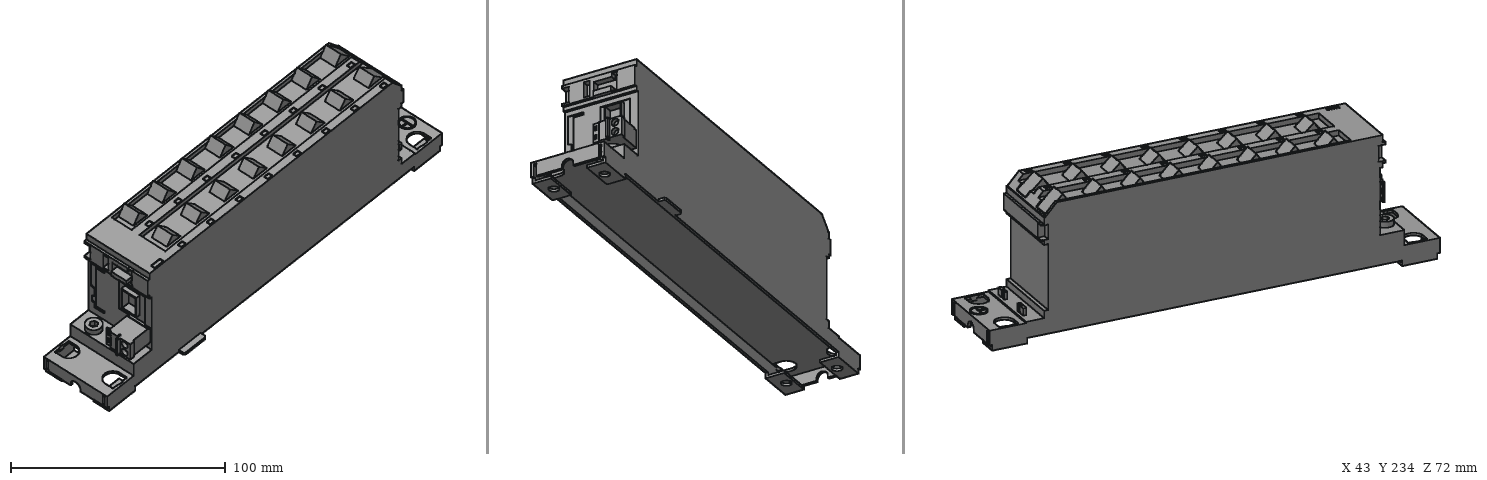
import cadquery as cq

LENGTH = 234.0
WIDTH = 39.5
HEIGHT = 72.0

SHEET = 1.5
CHANNEL_TOP = 10.5
CHANNEL_BOTTOM = 2.8
FOOT_LENGTH = 18.3
FOOT_WIDTH = 10.0
FLANGE_SLOT_TOP = 9.4
ARCH_RADIUS = 3.0
ARCH_TOP = 7.0
HOLE_INSET_X = 6.0
HOLE_INSET_Y = 10.8
HOLE_RADIUS = 2.5
ACCESS_RADIUS = 5.0
ACCESS_EDGE = 1.6
TAB_REACH = 3.5
TAB_START = 50.0
TAB_LENGTH = 15.2
TAB_CHAMFER = 0.7

BODY_TOP = 69.3
FRONT_FACE = 31.1
FRONT_LIP = 29.7
FRONT_BAND = 28.3
LEDGE_FRONT = 18.5
LEDGE_TOP = 18.3
BAND_BOTTOM = 54.8
BAND_TOP = 65.5
LIP_BOTTOM = 52.6
REAR_FACE = 203.5
REAR_LIP = 205.7
REAR_BAND = 207.0
REAR_STEP_END = 215.0
REAR_STEP_TOP = 11.2
REAR_FOOT_TOP = 15.0
REAR_LIP_BOTTOM = 48.7
REAR_BAND_BOTTOM = 50.8
REAR_BAND_TOP = 59.2
BEVEL_RUN = 6.0
BEVEL_LEDGE = 0.5
BEVEL_DROP = 6.5

COLUMN_START = 45.6
COLUMN_FLOOR = 66.5
COLUMNS = ((1.6, 14.0), (19.0, 35.0))
SWITCH_STARTS = (1.6, 22.5)
SWITCH_PEAKS = (HEIGHT, 71.4)
SWITCH_WIDTH = 9.4
SWITCH_COUNT = 8
SWITCH_PITCH = 20.1
FIRST_SWITCH = 54.3
SWITCH_FRONT_RUN = 4.0
SWITCH_REAR_RUN = 5.5
CHUTE_END = 204.3
LAMP_STARTS = (16.1, 36.5)
LAMP_WIDTH = 2.3
LAMP_LENGTH = 3.0
STATUS_LAMP_START = 34.2
STATUS_LAMP_LENGTH = 6.0
SHALLOW = 0.5

NOTCH_WIDTH = 3.7
SOCKET = (22.5, 31.8, 35.8, 48.7)
SOCKET_FRONT = 29.0
SOCKET_WALL = 0.7
LABEL = (19.0, 35.0, 31.8, 50.0)
CONNECTOR_BOTTOM = 22.5
CONNECTOR_TOP = 32.5
SCREW_XS = (10.0, 30.2)
SCREW_Y = 23.6
SCREW_RADIUS = 4.2
SCREW_HEIGHT = 3.0
SCREW_SOCKET = 4.2


def block(x0, x1, y0, y1, z0, z1):
    """Box between two opposite corners."""
    return cq.Workplane("XY").box(x1 - x0, y1 - y0, z1 - z0, centered=False).translate((x0, y0, z0))


def side_prism(points, x0, x1):
    """Outline of (y, z) points extruded along X."""
    return cq.Workplane("YZ").polyline(points).close().extrude(x1 - x0).translate((x0, 0, 0))


def front_prism(points, y0, y1):
    """Outline of (x, z) points extruded along Y."""
    return cq.Workplane("XZ").polyline(points).close().extrude(y0 - y1).translate((0, y0, 0))


def post(x, y, z0, z1, radius):
    """Upright cylinder."""
    return cq.Workplane("XY").circle(radius).extrude(z1 - z0).translate((x, y, z0))


def across(shape):
    """Copy mirrored about the middle of the width."""
    return shape.mirror("YZ", (WIDTH / 2, 0, 0))


def endwise(shape):
    """Copy mirrored about the middle of the length."""
    return shape.mirror("XZ", (0, LENGTH / 2, 0))


def four_corners(shape):
    """The shape together with its copies at the other three corners."""
    pair = shape.union(across(shape))
    return pair.union(endwise(pair))


def make_channel():
    """Folded channel with end flanges, inturned feet and screwdriver openings."""
    channel = block(0, WIDTH, 0, LENGTH, CHANNEL_BOTTOM, CHANNEL_TOP)
    channel = channel.cut(block(SHEET, WIDTH - SHEET, SHEET, LENGTH - SHEET, 0, CHANNEL_TOP - SHEET))

    foot_end = SHEET + FOOT_LENGTH
    foot = block(0, FOOT_WIDTH, SHEET, foot_end, 0, SHEET)
    foot = foot.union(block(0, SHEET, SHEET, foot_end, 0, CHANNEL_BOTTOM))
    foot = foot.cut(post(HOLE_INSET_X, HOLE_INSET_Y, 0, SHEET, HOLE_RADIUS))
    channel = channel.union(four_corners(foot))

    flange_slot = block(SHEET, 2 * SHEET, 0, SHEET, 0, FLANGE_SLOT_TOP)
    access = post(HOLE_INSET_X, HOLE_INSET_Y, FLANGE_SLOT_TOP - SHEET, CHANNEL_TOP, ACCESS_RADIUS)
    access = access.union(
        block(
            ACCESS_EDGE, HOLE_INSET_X, HOLE_INSET_Y - ACCESS_RADIUS, HOLE_INSET_Y + ACCESS_RADIUS,
            FLANGE_SLOT_TOP - SHEET, CHANNEL_TOP,
        )
    )
    channel = channel.cut(four_corners(flange_slot)).cut(four_corners(access))

    arch_centre = ARCH_TOP - ARCH_RADIUS
    arch = (
        cq.Workplane("XZ")
        .moveTo(WIDTH / 2 - ARCH_RADIUS, 0)
        .lineTo(WIDTH / 2 - ARCH_RADIUS, arch_centre)
        .threePointArc((WIDTH / 2, ARCH_TOP), (WIDTH / 2 + ARCH_RADIUS, arch_centre))
        .lineTo(WIDTH / 2 + ARCH_RADIUS, 0)
        .close()
        .extrude(-LENGTH)
    )
    channel = channel.cut(arch)

    tab = block(
        WIDTH - SHEET, WIDTH + TAB_REACH, TAB_START, TAB_START + TAB_LENGTH,
        CHANNEL_BOTTOM, CHANNEL_BOTTOM + SHEET,
    )
    return channel.union(tab.edges("|Z and >X").chamfer(TAB_CHAMFER))


def earth_mark():
    """Shallow ring and cross cut into the rear of the channel."""
    x, y, radius, line = 22.7, 228.5, 4.2, 0.5
    floor = CHANNEL_TOP - SHALLOW
    ring = post(x, y, floor, CHANNEL_TOP, radius).cut(post(x, y, floor, CHANNEL_TOP, radius - line))
    bar = block(x - radius, x + radius, y - line / 2, y + line / 2, floor, CHANNEL_TOP)
    stem = block(x - line / 2, x + line / 2, y - radius, y, floor, CHANNEL_TOP)
    return ring.union(bar).union(stem)


def make_housing():
    """Full-width housing, extruded from one side outline."""
    bevel_edge = REAR_LIP - BEVEL_LEDGE
    outline = [
        (LEDGE_FRONT, CHANNEL_TOP),
        (LEDGE_FRONT, LEDGE_TOP),
        (FRONT_FACE, LEDGE_TOP),
        (FRONT_FACE, LIP_BOTTOM),
        (FRONT_LIP, LIP_BOTTOM),
        (FRONT_LIP, BAND_BOTTOM),
        (FRONT_BAND, BAND_BOTTOM),
        (FRONT_BAND, BAND_TOP),
        (FRONT_LIP, BAND_TOP),
        (FRONT_LIP, BODY_TOP),
        (bevel_edge - BEVEL_RUN, BODY_TOP),
        (bevel_edge, BODY_TOP - BEVEL_DROP),
        (REAR_LIP, BODY_TOP - BEVEL_DROP),
        (REAR_LIP, REAR_BAND_TOP),
        (REAR_BAND, REAR_BAND_TOP),
        (REAR_BAND, REAR_BAND_BOTTOM),
        (REAR_LIP, REAR_BAND_BOTTOM),
        (REAR_LIP, REAR_LIP_BOTTOM),
        (REAR_FACE, REAR_LIP_BOTTOM),
        (REAR_FACE, REAR_FOOT_TOP),
        (REAR_LIP, REAR_FOOT_TOP),
        (REAR_LIP, REAR_STEP_TOP),
        (REAR_STEP_END, REAR_STEP_TOP),
        (REAR_STEP_END, CHANNEL_TOP),
    ]
    return side_prism(outline, 0, WIDTH)


def add_rear_prongs(body):
    """Two pairs of upright prongs on the rear step."""
    prong_y, prong_depth = 211.5, 1.6
    for x0, x1 in ((6.8, 10.3), (11.2, 13.0), (26.7, 28.5), (29.5, 33.0)):
        body = body.union(block(x0, x1, prong_y, prong_y + prong_depth, REAR_STEP_TOP, REAR_FOOT_TOP))
    return body


def add_switches(body):
    """Two sunken columns of wedge-shaped switches with lamp windows beside them."""
    switch_ys = [FIRST_SWITCH + i * SWITCH_PITCH for i in range(SWITCH_COUNT)]
    last_y = switch_ys[-1]
    for (x0, x1), switch_x, peak in zip(COLUMNS, SWITCH_STARTS, SWITCH_PEAKS):
        switch_end = switch_x + SWITCH_WIDTH
        body = body.cut(block(x0, x1, COLUMN_START, REAR_LIP, COLUMN_FLOOR, BODY_TOP))
        chute_drop = (CHUTE_END - last_y) * (peak - COLUMN_FLOOR) / SWITCH_REAR_RUN
        chute = [(last_y, peak), (CHUTE_END, peak - chute_drop), (CHUTE_END, peak)]
        body = body.cut(side_prism(chute, switch_x, switch_end))
        for y in switch_ys:
            wedge = [(y - SWITCH_FRONT_RUN, COLUMN_FLOOR), (y, peak), (y + SWITCH_REAR_RUN, COLUMN_FLOOR)]
            body = body.union(side_prism(wedge, switch_x, switch_end))

    lamp_floor = BODY_TOP - SHALLOW
    for x in LAMP_STARTS:
        for y in switch_ys:
            lamp_y = y - LAMP_LENGTH / 2
            body = body.cut(block(x, x + LAMP_WIDTH, lamp_y, lamp_y + LAMP_LENGTH, lamp_floor, BODY_TOP))
    status_x = LAMP_STARTS[-1]
    status_end = STATUS_LAMP_START + STATUS_LAMP_LENGTH
    return body.cut(
        block(status_x, status_x + LAMP_WIDTH, STATUS_LAMP_START, status_end, lamp_floor, BODY_TOP)
    )


def add_latch_openings(body):
    """Side notches at both ends, and the slot, pocket and hook in the front band."""
    opening_back = 31.8
    opening_bottom, opening_top = 56.0, 64.0
    body = body.cut(block(0, NOTCH_WIDTH, FRONT_BAND, opening_back, opening_bottom, opening_top))
    rear_bottom = REAR_BAND_BOTTOM + SHALLOW
    rear_top = REAR_BAND_TOP - SHALLOW
    body = body.cut(block(0, NOTCH_WIDTH, REAR_FACE, REAR_BAND, rear_bottom, rear_top))
    slot_left, slot_right = 11.7, 15.0
    body = body.cut(block(slot_left, slot_right, FRONT_BAND, opening_back, opening_bottom, opening_top))

    hook_x, hook_end, pocket_end = 17.3, 27.0, 29.7
    hook_top, hook_front, recess_top = 57.5, 27.5, 62.7
    pocket_bottom, pocket_top = 55.2, 65.0
    body = body.cut(block(hook_x, hook_end, FRONT_BAND, opening_back, hook_top, recess_top))
    body = body.cut(block(hook_end, pocket_end, FRONT_BAND, opening_back, pocket_bottom, pocket_top))
    return body.union(block(hook_x, hook_end, hook_front, FRONT_BAND, BAND_BOTTOM, hook_top))


def add_front_panel(body):
    """Label recess, framed socket and the outline groove of the cover."""
    x0, x1, z0, z1 = LABEL
    body = body.cut(block(x0, x1, FRONT_FACE, FRONT_FACE + SHALLOW, z0, z1))

    x0, x1, z0, z1 = SOCKET
    socket = block(x0, x1, SOCKET_FRONT, FRONT_FACE + SHALLOW, z0, z1)
    body = body.union(socket)
    opening_back = FRONT_FACE + 2.3
    opening = block(
        x0 + SOCKET_WALL, x1 - SOCKET_WALL, SOCKET_FRONT, opening_back, z0 + SOCKET_WALL, z1 - SOCKET_WALL
    )
    body = body.cut(opening)

    groove = [
        (1.5, 50.0), (9.8, 50.0), (9.8, 49.0), (4.5, 49.0), (4.5, 23.5), (9.8, 23.5), (9.8, 22.5),
        (3.5, 22.5), (3.5, 25.3), (2.0, 25.7), (2.0, 29.0), (3.5, 29.5), (3.5, 34.6), (1.5, 35.3),
    ]
    return body.cut(front_prism(groove, FRONT_FACE, FRONT_FACE + SHALLOW))


def make_connector():
    """Plug-in terminal block with two round wire entries, a side ear and a centre rib."""
    left, right = 25.5, 38.5
    face, nose = 16.4, 14.5
    back = FRONT_FACE + 2 * SHALLOW
    bottom, top = CONNECTOR_BOTTOM, CONNECTOR_TOP
    connector = block(left, right, face, FRONT_LIP, bottom, top)
    connector = connector.union(block(left, right, FRONT_LIP, back, bottom, top - SHALLOW))

    ear_left, ear_right, ear_back = 23.9, 27.0, 17.8
    ear_face = face + SHALLOW
    connector = connector.cut(block(left, ear_right, face, ear_face, bottom, top))
    connector = connector.union(block(ear_left, left, ear_face, ear_back, bottom, top))
    window_height = 2.0
    for z in (24.3, 29.0):
        connector = connector.cut(block(ear_left + SHALLOW, left, ear_face, ear_back, z, z + window_height))
    flange_right, flange_back = 39.3, 19.2
    connector = connector.union(block(right, flange_right, face, flange_back, bottom, top))

    slot_left, rib_left, rib_right = 31.1, 31.8, 33.0
    slot_depth = 1.9
    connector = connector.cut(block(slot_left, rib_left, face, face + slot_depth, bottom, top))
    connector = connector.union(block(rib_left, rib_right, nose, face, bottom, top))

    entry_x, entry_radius, entry_depth = 35.8, 1.9, 2.3
    for z in (25.0, 30.0):
        entry = cq.Workplane("XZ").circle(entry_radius).extrude(-entry_depth)
        connector = connector.cut(entry.translate((entry_x, face, z)))
    return connector


def add_screws(body):
    """Round screw heads with hexagon sockets on the front ledge."""
    for x in SCREW_XS:
        head_top = LEDGE_TOP + SCREW_HEIGHT
        body = body.union(post(x, SCREW_Y, LEDGE_TOP, head_top, SCREW_RADIUS))
        socket = cq.Workplane("XY").polygon(6, SCREW_SOCKET).extrude(-SCREW_HEIGHT)
        body = body.cut(socket.translate((x, SCREW_Y, head_top)))
    return body


result = make_channel().cut(earth_mark())
result = result.union(make_housing())
result = add_rear_prongs(result)
result = add_switches(result)
result = add_latch_openings(result)
result = add_front_panel(result)
result = result.union(make_connector())
result = add_screws(result)